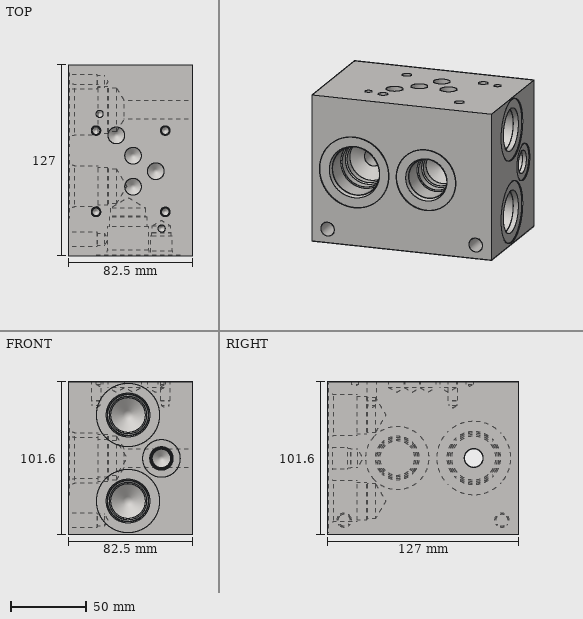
import cadquery as cq
import math

WIDTH = 82.55
LENGTH = 127.0
HEIGHT = 101.6

LEFT_X = -WIDTH / 2
FRONT_Y = -LENGTH / 2
BACK_Y = LENGTH / 2

DRILL_POINT_ANGLE = 118.0
POINT_SLOPE = 1 / math.tan(math.radians(DRILL_POINT_ANGLE / 2))

SPOTFACE_DEPTH = 0.76
LARGE_PORT = dict(
    spotface=49.0, seat_mouth=35.5, seat_end=33.78, thread=33.34, bore=31.27, drill=29.2,
    seat_depth=4.06, thread_depth=19.8, bore_depth=26.0, drill_depth=32.0,
)
MEDIUM_PORT = dict(
    spotface=42.04, seat_mouth=29.1, seat_end=27.43, thread=26.99, bore=24.92, drill=23.01,
    seat_depth=4.06, thread_depth=19.8, bore_depth=26.0, drill_depth=32.0,
)
SMALL_PORT = dict(
    spotface=25.02, seat_mouth=15.6, seat_end=14.53, thread=14.28, bore=12.9, drill=12.29,
    seat_depth=3.3, thread_depth=13.5, bore_depth=15.5, drill_depth=20.0,
)

WORK_PORT_X = -1.65
WORK_PORT_INSET = 22.225
PILOT_PORT_X = 20.55
PILOT_PORT_DROP = 0.25
PILOT_PORT_Z = HEIGHT / 2 - PILOT_PORT_DROP

TANK_PORT_Y = 33.7
PORT_SPACING = 50.8
PRESSURE_PORT_Y = TANK_PORT_Y - PORT_SPACING
TANK_PASSAGE_DIAMETER = 12.29

MOUNT_EDGE_Y = 11.11
MOUNT_Z = 9.53
MOUNT_DIAMETER = 9.53
MOUNT_DRILL = 7.92
MOUNT_THREAD_DEPTH = 19.0
MOUNT_DRILL_DEPTH = 24.0

PATTERN_X = 0.1
PATTERN_Y = -7.1
BOLT_SPAN_X = 46.0
BOLT_SPAN_Y = 54.0
BOLT_DIAMETER = 6.35
BOLT_DRILL = 5.11
BOLT_THREAD_DEPTH = 12.7
BOLT_DRILL_DEPTH = 16.0
PIN_DIAMETER = 4.78
PIN_DEPTH = 1.8
PIN_OFFSET_X = 20.6
PIN_OFFSET_Y = 38.1
FLOW_DIAMETER = 11.11
FLOW_DEPTH = 3.9
FLOW_OFFSETS = [(-9.5, 23.8), (1.6, 10.3), (16.7, 0.0), (1.6, -10.3)]


def pointed(profile):
    """Add a drill point below the last (radius, depth) of a bore profile."""
    radius, depth = profile[-1]
    return profile + [(0, depth + radius * POINT_SLOPE)]


def bore(profile, origin, inward, reference):
    """Revolve (radius, depth) pairs into a cutter that enters the block at origin."""
    plane = cq.Plane(origin=origin, xDir=reference, normal=inward)
    sketch = cq.Workplane(plane).transformed(rotate=(90, 0, 0))
    outline = [(0, 0)] + profile
    return sketch.polyline(outline).close().revolve(360, (0, 0, 0), (0, 1, 0))


def left_bore(profile, y, z):
    return bore(profile, (LEFT_X, y, z), (1, 0, 0), (0, 1, 0))


def front_bore(profile, x, z):
    return bore(profile, (x, FRONT_Y, z), (0, 1, 0), (1, 0, 0))


def top_bore(profile, x, y):
    return bore(profile, (x, y, HEIGHT), (0, 0, -1), (1, 0, 0))


def blind_hole(diameter, depth):
    return pointed([(diameter / 2, 0), (diameter / 2, depth)])


def tapped_hole(diameter, thread_depth, drill, drill_depth):
    """Thread-size bore ending in a cone on a smaller, deeper tap drill."""
    step = (diameter - drill) / 2 * POINT_SLOPE
    return pointed([
        (diameter / 2, 0),
        (diameter / 2, thread_depth),
        (drill / 2, thread_depth + step),
        (drill / 2, drill_depth),
    ])


def port(size):
    step = (size["bore"] - size["drill"]) / 2 * POINT_SLOPE
    return pointed([
        (size["spotface"] / 2, 0),
        (size["spotface"] / 2, SPOTFACE_DEPTH),
        (size["seat_mouth"] / 2, SPOTFACE_DEPTH),
        (size["seat_end"] / 2, size["seat_depth"]),
        (size["thread"] / 2, size["seat_depth"]),
        (size["thread"] / 2, size["thread_depth"]),
        (size["bore"] / 2, size["thread_depth"]),
        (size["bore"] / 2, size["bore_depth"]),
        (size["drill"] / 2, size["bore_depth"] + step),
        (size["drill"] / 2, size["drill_depth"]),
    ])


def front_ports():
    return [
        front_bore(port(MEDIUM_PORT), WORK_PORT_X, WORK_PORT_INSET),
        front_bore(port(MEDIUM_PORT), WORK_PORT_X, HEIGHT - WORK_PORT_INSET),
        front_bore(port(SMALL_PORT), PILOT_PORT_X, PILOT_PORT_Z),
    ]


def left_ports():
    passage_radius = TANK_PASSAGE_DIAMETER / 2
    passage = [(passage_radius, 0), (passage_radius, WIDTH), (0, WIDTH)]
    return [
        left_bore(port(LARGE_PORT), TANK_PORT_Y, HEIGHT / 2),
        left_bore(passage, TANK_PORT_Y, HEIGHT / 2),
        left_bore(port(MEDIUM_PORT), PRESSURE_PORT_Y, HEIGHT / 2),
    ]


def mounting_holes():
    hole = tapped_hole(MOUNT_DIAMETER, MOUNT_THREAD_DEPTH, MOUNT_DRILL, MOUNT_DRILL_DEPTH)
    return [left_bore(hole, y, MOUNT_Z) for y in (FRONT_Y + MOUNT_EDGE_Y, BACK_Y - MOUNT_EDGE_Y)]


def valve_pattern():
    bolt = tapped_hole(BOLT_DIAMETER, BOLT_THREAD_DEPTH, BOLT_DRILL, BOLT_DRILL_DEPTH)
    pin = blind_hole(PIN_DIAMETER, PIN_DEPTH)
    flow = blind_hole(FLOW_DIAMETER, FLOW_DEPTH)
    placed = [(bolt, sx * BOLT_SPAN_X / 2, sy * BOLT_SPAN_Y / 2) for sx in (-1, 1) for sy in (-1, 1)]
    placed += [(pin, side * PIN_OFFSET_X, -side * PIN_OFFSET_Y) for side in (-1, 1)]
    placed += [(flow, dx, dy) for dx, dy in FLOW_OFFSETS]
    return [top_bore(profile, PATTERN_X + dx, PATTERN_Y + dy) for profile, dx, dy in placed]


block = cq.Workplane("XY").box(WIDTH, LENGTH, HEIGHT, centered=(True, True, False))
for cutter in front_ports() + left_ports() + mounting_holes() + valve_pattern():
    block = block.cut(cutter)

result = block